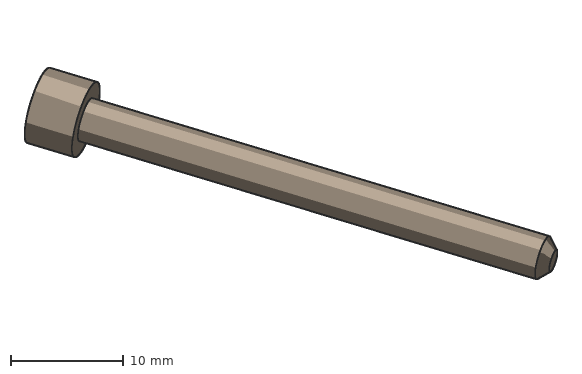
import cadquery as cq

total_length = 49.0
head_diameter = 7.0
head_length = 4.5
shank_diameter = 4.0

tip_length = 1.0

head_radius = head_diameter / 2
shank_radius = shank_diameter / 2
tip_radius = shank_radius - tip_length
tip_start = total_length - tip_length

half_section = (
    cq.Workplane("XY")
    .lineTo(0, head_radius)
    .lineTo(head_length, head_radius)
    .lineTo(head_length, shank_radius)
    .lineTo(tip_start, shank_radius)
    .lineTo(total_length, tip_radius)
    .lineTo(total_length, 0)
    .close()
)

result = half_section.revolve(360, (0, 0, 0), (1, 0, 0))